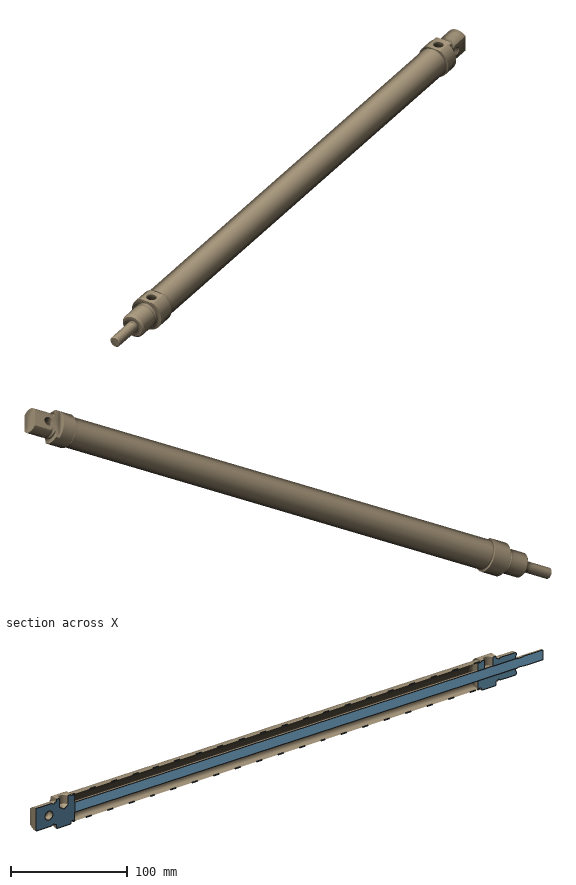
import cadquery as cq
import math

overall_length = 540.0
rod_tip_y = -overall_length / 2
rear_end_y = overall_length / 2

rod_diameter = 10.0
thread_diameter = 9.9
thread_length = 22.0
thread_tip_diameter = 8.57
wrench_flat_distance = 9.0
wrench_flat_length = 5.0
rod_nose_projection = 28.0

tube_diameter = 27.0
tube_bore = 25.0
tube_gap = 1.5

cap_diameter = 30.0
cap_length = 16.0
port_flat_height = tube_diameter / 2
port_diameter = 8.57
port_mouth_diameter = 9.9
port_depth = 9.0
drill_point_angle = 118.0
spigot_length = 2.0

neck_diameter = 22.0
relief_diameter = 19.7
neck_length = 22.0
relief_gap = 1.5
neck_chamfer = 1.5
wiper_recess_diameter = 16.1
wiper_recess_depth = 0.5
wiper_seat_diameter = 14.0
wiper_seat_depth = 1.0
front_relief_length = 2.6
rear_relief_length = 3.5

lug_width = 16.0
lug_cut_into_cap = 3.5
pivot_diameter = 8.0
pivot_to_rear_end = 14.0

front_neck_y = rod_tip_y + rod_nose_projection
front_cap_y = front_neck_y + neck_length
front_tube_y = front_cap_y + cap_length + tube_gap
rear_cap_y = rear_end_y - neck_length
rear_tube_y = rear_cap_y - cap_length - tube_gap
front_spigot_y = front_tube_y + spigot_length
rear_spigot_y = rear_tube_y - spigot_length


def disc(diameter, start_y, end_y):
    """Cylinder on the Y axis between two stations."""
    length = abs(end_y - start_y)
    plane = cq.Workplane("XZ", origin=(0, max(start_y, end_y), 0))
    return plane.circle(diameter / 2).extrude(length)


def block(width, start_y, end_y, low_z, high_z, center_x=0.0):
    """Box centred on center_x between two stations and two heights."""
    plane = cq.Workplane("XY", origin=(center_x, (start_y + end_y) / 2, low_z))
    return plane.rect(width, abs(end_y - start_y)).extrude(high_z - low_z)


def relief_groove(first_y, second_y):
    """Ring cut into a neck, with 45 degree walls."""
    low_y = min(first_y, second_y)
    high_y = max(first_y, second_y)
    outer = neck_diameter / 2
    inner = relief_diameter / 2
    wall = outer - inner
    profile = cq.Workplane("XY").polyline([
        (outer, low_y),
        (inner, low_y + wall),
        (inner, high_y - wall),
        (outer, high_y),
    ]).close()
    return profile.revolve(360, (0, 0, 0), (0, 1, 0))


def cap_blank(outer_y, toward_tube, neck_end_y, relief_length):
    """Collar with top flat and spigot toward the tube, and a relieved neck outward."""
    collar_end_y = outer_y + toward_tube * cap_length
    spigot_end_y = collar_end_y + toward_tube * (tube_gap + spigot_length)
    relief_y = outer_y - toward_tube * relief_gap
    relief_end_y = relief_y - toward_tube * relief_length

    collar = disc(cap_diameter, outer_y, collar_end_y)
    above_flat = block(cap_diameter, outer_y, collar_end_y, port_flat_height, cap_diameter)
    neck = disc(neck_diameter, neck_end_y, outer_y)
    groove = relief_groove(relief_y, relief_end_y)

    blank = collar.cut(above_flat)
    blank = blank.union(disc(tube_bore, collar_end_y, spigot_end_y))
    return blank.union(neck.cut(groove))


def port_drill(center_y):
    """Drill body with a conical point, entering from the top flat."""
    radius = port_diameter / 2
    point_length = radius / math.tan(math.radians(drill_point_angle / 2))
    mouth_chamfer = port_mouth_diameter / 2 - radius
    shoulder_z = port_flat_height - port_depth
    profile = cq.Workplane("XZ", origin=(0, center_y, 0)).polyline([
        (0, shoulder_z - point_length),
        (radius, shoulder_z),
        (radius, port_flat_height - mouth_chamfer),
        (port_mouth_diameter / 2, port_flat_height),
        (0, port_flat_height),
    ]).close()
    return profile.revolve(360, (0, 0, 0), (0, 1, 0))


def make_rod():
    """Rod with a chamfered thread end and two wrench flats, reaching the rear cap."""
    flat_start_y = rod_tip_y + thread_length
    flat_end_y = flat_start_y + wrench_flat_length
    tip_chamfer = (thread_diameter - thread_tip_diameter) / 2
    thread = disc(thread_diameter, rod_tip_y, flat_end_y).faces("<Y").chamfer(tip_chamfer)
    rod = thread.union(disc(rod_diameter, flat_end_y, rear_spigot_y))
    flat_z = wrench_flat_distance / 2
    rod = rod.cut(block(rod_diameter, flat_start_y, flat_end_y, flat_z, rod_diameter))
    return rod.cut(block(rod_diameter, flat_start_y, flat_end_y, -rod_diameter, -flat_z))


def make_front_cap():
    """Cap with a chamfered nose, a stepped wiper recess, a port and the rod bore."""
    cap = cap_blank(front_cap_y, 1, front_neck_y, front_relief_length)
    cap = cap.faces("<Y").chamfer(neck_chamfer)
    cap = cap.cut(disc(wiper_recess_diameter, front_neck_y, front_neck_y + wiper_recess_depth))
    cap = cap.cut(disc(wiper_seat_diameter, front_neck_y, front_neck_y + wiper_seat_depth))
    cap = cap.cut(port_drill(front_cap_y + cap_length / 2))
    return cap.cut(disc(rod_diameter, front_neck_y, front_spigot_y))


def lug_side_cut(side):
    """Removes one side of the lug and the end of the collar beside it."""
    side_width = (cap_diameter - lug_width) / 2
    center_x = side * (lug_width + side_width) / 2
    cut_y = rear_cap_y - lug_cut_into_cap
    return block(side_width, cut_y, rear_end_y, -cap_diameter / 2, cap_diameter / 2, center_x)


def make_rear_cap():
    """Cap with a flat-sided lug, a cross hole for the pivot and a port."""
    cap = cap_blank(rear_cap_y, -1, rear_end_y, rear_relief_length)
    for side in (-1, 1):
        cap = cap.cut(lug_side_cut(side))
    pivot_y = rear_end_y - pivot_to_rear_end
    pivot = cq.Workplane("YZ").center(pivot_y, 0).circle(pivot_diameter / 2).extrude(lug_width, both=True)
    cap = cap.cut(pivot)
    return cap.cut(port_drill(rear_cap_y - cap_length / 2))


def make_tube():
    """Tube that fits over the spigots of both caps."""
    tube = disc(tube_diameter, front_tube_y, rear_tube_y)
    return tube.cut(disc(tube_bore, front_tube_y, rear_tube_y))


rod = make_rod()
front_cap = make_front_cap()
rear_cap = make_rear_cap()
tube = make_tube()

result = cq.Compound.makeCompound([rod.val(), front_cap.val(), rear_cap.val(), tube.val()])